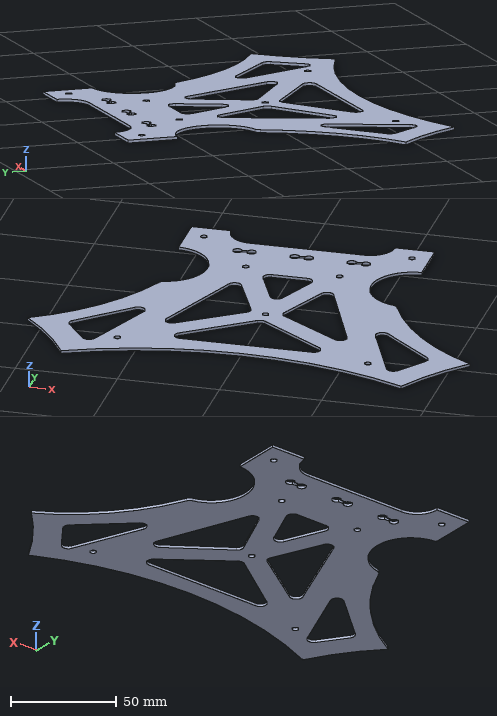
import cadquery as cq
import math

LENGTH = 216.7
DEPTH = 156.0
THICKNESS = 1.5

HALF_LENGTH = LENGTH / 2
SHOULDER_X = 59.5
SHOULDER_Y = 131.1
FRONT_EDGE_Y = 144.1
TAB_INNER_X = 40.0
NOTCH_TIP_X = 40.0
NOTCH_CENTER_Y = 110.7
ARM_ROOT = (57.6, 90.5)
ARM_MIDDLE = (77.0, 59.2)
ARM_TIP = (HALF_LENGTH, 33.5)
ARM_END_MIDDLE = (94.5, 17.8)
FOOT = (83.2, 0.0)
REAR_ARCH_Y = 18.2
ARM_ROOT_FILLET = 3.3

HOLE_DIAMETER = 3.0
PAIRED_HOLES = [(51.0, 146.0), (23.0, 117.0), (61.3, 21.9)]
CENTER_HOLE = (0.0, 65.5)

SLOT_PITCH = 28.0
SLOT_Y = 134.1
LOBE_DIAMETER = 4.3
LOBE_SPACING = 7.0
NECK_WIDTH = 1.7

WINDOW_RADIUS = 3.3
FRONT_WINDOW = [(-13.7, 111.0), (13.7, 111.0), (0.0, 79.0)]
REAR_WINDOW = [(-42.5, 28.2), (42.5, 28.2), (0.0, 58.7)]
SIDE_WINDOW = [(22.8, 102.7), (48.1, 39.0), (7.2, 67.2)]
ARM_WINDOW = [(88.9, 33.5), (51.4, 67.5), (73.7, 12.8)]


def mirrored(point):
    return (-point[0], point[1])


def make_plate():
    corner_radius = DEPTH - FRONT_EDGE_Y
    corner_center_x = TAB_INNER_X - corner_radius
    diagonal = corner_radius * math.sqrt(0.5)
    corner_middle = (corner_center_x + diagonal, DEPTH - diagonal)
    tab_inner = (TAB_INNER_X, DEPTH)
    front_edge_end = (corner_center_x, FRONT_EDGE_Y)
    shoulder = (SHOULDER_X, SHOULDER_Y)
    notch_tip = (NOTCH_TIP_X, NOTCH_CENTER_Y)

    plate = (
        cq.Workplane("XY")
        .moveTo(*mirrored(front_edge_end))
        .lineTo(*front_edge_end)
        .threePointArc(corner_middle, tab_inner)
        .lineTo(SHOULDER_X, DEPTH)
        .lineTo(*shoulder)
        .threePointArc(notch_tip, ARM_ROOT)
        .threePointArc(ARM_MIDDLE, ARM_TIP)
        .threePointArc(ARM_END_MIDDLE, FOOT)
        .threePointArc((0, REAR_ARCH_Y), mirrored(FOOT))
        .threePointArc(mirrored(ARM_END_MIDDLE), mirrored(ARM_TIP))
        .threePointArc(mirrored(ARM_MIDDLE), mirrored(ARM_ROOT))
        .threePointArc(mirrored(notch_tip), mirrored(shoulder))
        .lineTo(-SHOULDER_X, DEPTH)
        .lineTo(*mirrored(tab_inner))
        .threePointArc(mirrored(corner_middle), mirrored(front_edge_end))
        .close()
        .extrude(THICKNESS)
    )
    for root in (ARM_ROOT, mirrored(ARM_ROOT)):
        root_edge = cq.selectors.NearestToPointSelector((*root, THICKNESS / 2))
        plate = plate.edges(root_edge).fillet(ARM_ROOT_FILLET)
    return plate


def make_window(corners):
    window = cq.Workplane("XY").polyline(corners).close().extrude(THICKNESS)
    return window.edges("|Z").fillet(WINDOW_RADIUS)


def make_strap_slot(center_x):
    lobe_offset = LOBE_SPACING / 2
    lobe_centers = [(-lobe_offset, 0), (lobe_offset, 0)]
    middle = cq.Workplane("XY", origin=(center_x, SLOT_Y, 0))
    lobes = middle.pushPoints(lobe_centers).circle(LOBE_DIAMETER / 2).extrude(THICKNESS)
    neck = middle.rect(LOBE_SPACING, NECK_WIDTH).extrude(THICKNESS)
    return lobes.union(neck)


def make_holes():
    centers = [CENTER_HOLE]
    for center in PAIRED_HOLES:
        centers += [center, mirrored(center)]
    return cq.Workplane("XY").pushPoints(centers).circle(HOLE_DIAMETER / 2).extrude(THICKNESS)


result = make_plate().cut(make_holes())

for slot_x in (-SLOT_PITCH, 0, SLOT_PITCH):
    result = result.cut(make_strap_slot(slot_x))

for window_corners in (FRONT_WINDOW, REAR_WINDOW):
    result = result.cut(make_window(window_corners))

for window_corners in (SIDE_WINDOW, ARM_WINDOW):
    window = make_window(window_corners)
    result = result.cut(window).cut(window.mirror("YZ"))